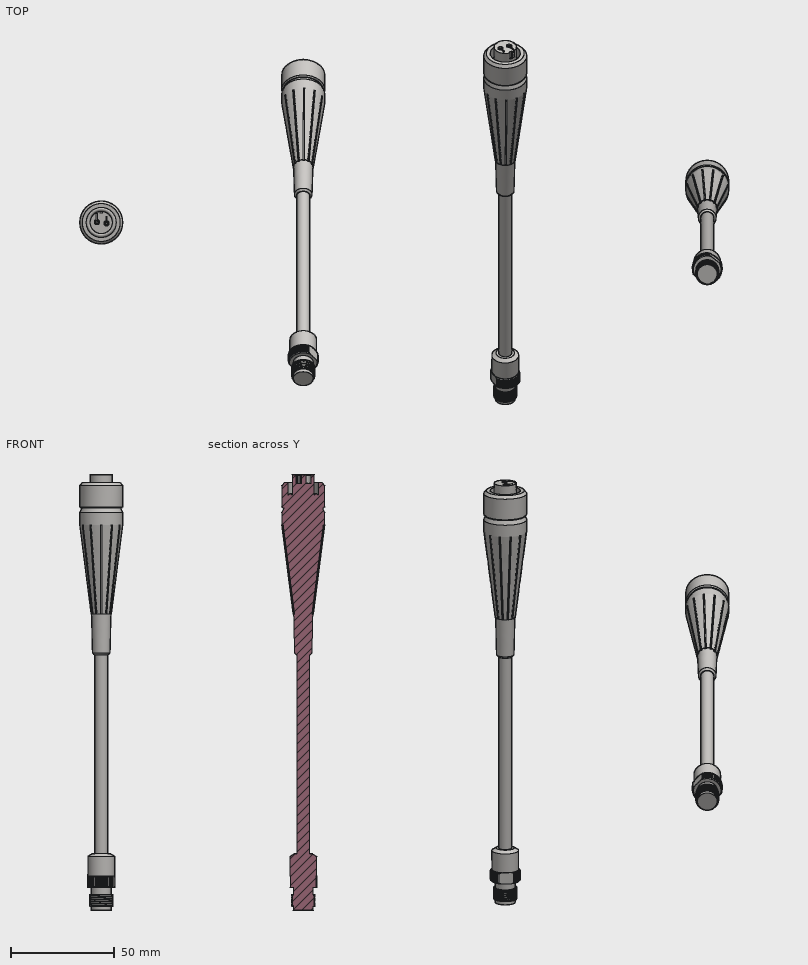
import cadquery as cq
import math

TOTAL_HEIGHT = 210.7

PLUG_DIAMETER = 9.7
THREAD_DIAMETER = 10.7
THREAD_BOTTOM = 2.0
THREAD_TOP = 7.5
THREAD_PITCH = 1.0
THREAD_DEPTH = 0.5
THREAD_MOUTH_FRACTION = 0.8

GRIP_BOTTOM = 11.0
GRIP_TOP = 16.6
GRIP_DIAMETER = 14.5
GRIP_CHAMFER = 0.6
GRIP_ACROSS_FLATS = 12.5
GRIP_FLAT_TURN = -9.0
KNURL_COUNT = 48
KNURL_DEPTH = 0.25
HOUSING_DIAMETER = 13.0
HOUSING_TOP = 26.1
HOUSING_SHOULDER_DIAMETER = 8.8
HOUSING_SHOULDER_HEIGHT = 1.3

CABLE_DIAMETER = 6.3
SLEEVE_BOTTOM = 123.5
SLEEVE_MOUTH_DIAMETER = 6.7
SLEEVE_CHAMFER_HEIGHT = 1.0
SLEEVE_LOWER_DIAMETER = 8.6
SLEEVE_UPPER_DIAMETER = 9.5

BOOT_BOTTOM = 143.3
BOOT_TAPER_TOP = 186.2
BOOT_TOP = 192.4
BOOT_LOWER_DIAMETER = 10.0
GROOVE_COUNT = 12
GROOVE_WIDTH = 0.6
GROOVE_DEPTH = 0.6

NUT_DIAMETER = 20.9
NUT_BOTTOM = 194.5
NUT_TOP = 207.0
NUT_FACE_DIAMETER = 18.3
NUT_CHAMFER_HEIGHT = 1.5
NECK_DIAMETER = 19.0
NUT_LOWER_CHAMFER = 0.6

OVERCUT = 0.2

SOCKET_DIAMETER = 14.5
SOCKET_DEPTH = 6.3
INSERT_DIAMETER = 10.7
CONTACTS = [(-2.1, 0.2, 4.5), (2.5, -0.5, 3.0)]
CONTACT_HOLE_DIAMETER = 2.5
CONTACT_DEPTH = 4.2
CONTACT_DIAMETER = 1.7
CONTACT_BORE_DIAMETER = 1.0
CONTACT_RECESS = 0.5
CONTACT_SLOT_WIDTH = 0.6
KEYWAY_WIDTH = 1.3
KEYWAY_DEPTH = 0.8


def plane_at(height):
    """Horizontal workplane at the given height."""
    return cq.Workplane("XY").workplane(offset=height)


def revolved_body():
    """Solid of revolution carrying the outer outline, from the axis at the bottom to the axis at the top."""
    outline = [
        (0, 0),
        (PLUG_DIAMETER / 2, 0),
        (PLUG_DIAMETER / 2, THREAD_BOTTOM),
        (THREAD_DIAMETER / 2, THREAD_BOTTOM),
        (THREAD_DIAMETER / 2, THREAD_TOP),
        (PLUG_DIAMETER / 2, THREAD_TOP),
        (PLUG_DIAMETER / 2, GRIP_TOP),
        (HOUSING_DIAMETER / 2, GRIP_TOP),
        (HOUSING_DIAMETER / 2, HOUSING_TOP),
        (HOUSING_SHOULDER_DIAMETER / 2, HOUSING_TOP + HOUSING_SHOULDER_HEIGHT),
        (CABLE_DIAMETER / 2, HOUSING_TOP + HOUSING_SHOULDER_HEIGHT),
        (CABLE_DIAMETER / 2, SLEEVE_BOTTOM),
        (SLEEVE_MOUTH_DIAMETER / 2, SLEEVE_BOTTOM),
        (SLEEVE_LOWER_DIAMETER / 2, SLEEVE_BOTTOM + SLEEVE_CHAMFER_HEIGHT),
        (SLEEVE_UPPER_DIAMETER / 2, BOOT_BOTTOM),
        (BOOT_LOWER_DIAMETER / 2, BOOT_BOTTOM),
        (NUT_DIAMETER / 2, BOOT_TAPER_TOP),
        (NUT_DIAMETER / 2, BOOT_TOP),
        (NECK_DIAMETER / 2, NUT_BOTTOM),
        (NUT_DIAMETER / 2 - NUT_LOWER_CHAMFER, NUT_BOTTOM),
        (NUT_DIAMETER / 2, NUT_BOTTOM + NUT_LOWER_CHAMFER),
        (NUT_DIAMETER / 2, NUT_TOP - NUT_CHAMFER_HEIGHT),
        (NUT_FACE_DIAMETER / 2, NUT_TOP),
        (INSERT_DIAMETER / 2, NUT_TOP),
        (INSERT_DIAMETER / 2, TOTAL_HEIGHT),
        (0, TOTAL_HEIGHT),
    ]
    return cq.Workplane("XZ").polyline(outline).close().revolve(360, (0, 0), (0, 1))


def thread_groove():
    """Helical V groove, trimmed to the threaded band."""
    start = THREAD_BOTTOM - THREAD_PITCH
    length = THREAD_TOP - THREAD_BOTTOM + 2 * THREAD_PITCH
    path = cq.Wire.makeHelix(THREAD_PITCH, length, THREAD_DIAMETER / 2).translate(cq.Vector(0, 0, start))
    root = THREAD_DIAMETER / 2 - THREAD_DEPTH
    mouth = THREAD_DIAMETER / 2 + OVERCUT
    half_mouth = THREAD_PITCH * THREAD_MOUTH_FRACTION / 2
    groove = (
        cq.Workplane("XZ")
        .polyline([(root, start), (mouth, start + half_mouth), (mouth, start - half_mouth)]).close()
        .sweep(cq.Workplane(path), isFrenet=True)
    )
    band = plane_at(THREAD_BOTTOM).circle(THREAD_DIAMETER).extrude(THREAD_TOP - THREAD_BOTTOM)
    return groove.intersect(band)


def knurled_grip():
    """Straight-knurled ring with chamfered ends and two opposite flats."""
    height = GRIP_TOP - GRIP_BOTTOM
    radius = GRIP_DIAMETER / 2
    teeth = []
    for i in range(2 * KNURL_COUNT):
        tooth_radius = radius - KNURL_DEPTH * (i % 2)
        angle = math.pi * i / KNURL_COUNT
        teeth.append((tooth_radius * math.sin(angle), tooth_radius * math.cos(angle)))
    knurl = plane_at(GRIP_BOTTOM).polyline(teeth).close().extrude(height)
    blank = plane_at(GRIP_BOTTOM).circle(radius).extrude(height).edges().chamfer(GRIP_CHAMFER)
    flats = (
        plane_at(GRIP_BOTTOM).transformed(rotate=(0, 0, GRIP_FLAT_TURN))
        .rect(GRIP_ACROSS_FLATS, 2 * GRIP_DIAMETER).extrude(height)
    )
    return knurl.intersect(blank).intersect(flats)


def boot_grooves():
    """Evenly spaced grooves of constant depth running along the whole taper."""
    lower = BOOT_LOWER_DIAMETER / 2
    upper = NUT_DIAMETER / 2
    groove = (
        cq.Workplane("XZ")
        .polyline([
            (lower - GROOVE_DEPTH, BOOT_BOTTOM),
            (lower + OVERCUT, BOOT_BOTTOM),
            (upper + OVERCUT, BOOT_TAPER_TOP),
            (upper - GROOVE_DEPTH, BOOT_TAPER_TOP),
        ])
        .close().extrude(GROOVE_WIDTH / 2, both=True)
    )
    grooves = cq.Workplane("XY")
    for i in range(GROOVE_COUNT):
        grooves = grooves.add(groove.rotate((0, 0, 0), (0, 0, 1), 360 / GROOVE_COUNT * i))
    return grooves.combine()


def socket():
    """Annular space around the insert, with a round seal half sunk in its floor."""
    floor = NUT_TOP - SOCKET_DEPTH
    ring = (
        plane_at(floor).circle(SOCKET_DIAMETER / 2).circle(INSERT_DIAMETER / 2).extrude(SOCKET_DEPTH)
    )
    seal_centre = (SOCKET_DIAMETER + INSERT_DIAMETER) / 4
    seal_radius = (SOCKET_DIAMETER - INSERT_DIAMETER) / 4
    seal = (
        cq.Workplane("XZ").center(seal_centre, floor).circle(seal_radius)
        .revolve(360, (-seal_centre, 0), (-seal_centre, 1))
    )
    return ring.cut(seal)


def contact_hole(x, y, slot_end):
    """Hole with a slot running outward in +Y, around a recessed tubular contact."""
    top = plane_at(TOTAL_HEIGHT)
    hole = top.center(x, y).circle(CONTACT_HOLE_DIAMETER / 2).extrude(-CONTACT_DEPTH)
    slot = (
        top.center(x, (y + slot_end) / 2)
        .rect(CONTACT_SLOT_WIDTH, slot_end - y).extrude(-CONTACT_DEPTH)
    )
    tube = (
        top.workplane(offset=-CONTACT_DEPTH).center(x, y)
        .circle(CONTACT_DIAMETER / 2).circle(CONTACT_BORE_DIAMETER / 2)
        .extrude(CONTACT_DEPTH - CONTACT_RECESS)
    )
    return hole.union(slot).cut(tube)


def keyway():
    """Polarising notch in the +Y side of the insert."""
    return (
        plane_at(TOTAL_HEIGHT).center(0, INSERT_DIAMETER / 2)
        .rect(KEYWAY_WIDTH, 2 * KEYWAY_DEPTH).extrude(NUT_TOP - TOTAL_HEIGHT)
    )


result = revolved_body().union(knurled_grip())
for cutter in (thread_groove(), boot_grooves(), socket(), keyway()):
    result = result.cut(cutter)
for contact in CONTACTS:
    result = result.cut(contact_hole(*contact))